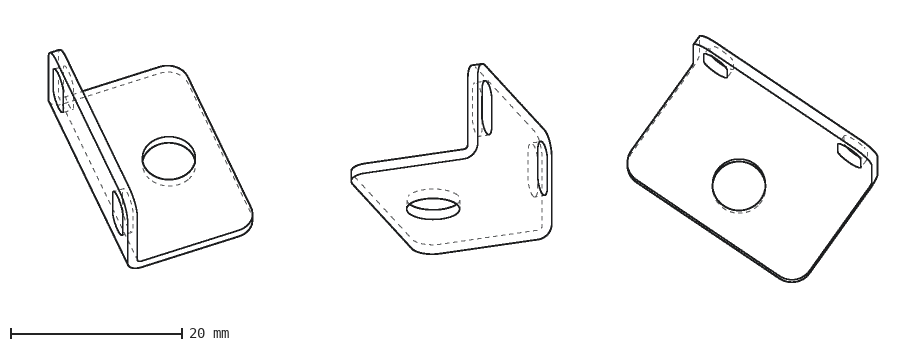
import cadquery as cq

width = 25.4
depth = 16.5
height = 12.7
thickness = 1.25

bend_inner_radius = 0.48
bend_outer_radius = bend_inner_radius + thickness
corner_radius = 2.55

hole_diameter = 6.2
hole_from_back = 6.35

slot_width = 3.3
slot_length = 6.6
slot_spacing = 19.05
slot_center_from_top = 5.15


def bent_sheet():
    """L profile in the YZ plane, extruded along X, with a rounded bend."""
    profile = [
        (0, 0),
        (depth, 0),
        (depth, thickness),
        (thickness, thickness),
        (thickness, height),
        (0, height),
    ]
    sheet = cq.Workplane("YZ").polyline(profile).close().extrude(width / 2, both=True)
    sheet = sheet.edges("|X and <Y and <Z").fillet(bend_outer_radius)
    inner_corner = cq.selectors.NearestToPointSelector((0, thickness, thickness))
    return sheet.edges("|X").edges(inner_corner).fillet(bend_inner_radius)


def base_hole():
    """Cutter for the round hole through the base."""
    return (
        cq.Workplane("XY")
        .center(0, depth - hole_from_back)
        .circle(hole_diameter / 2)
        .extrude(thickness)
    )


def flange_slots():
    """Cutters for the two vertical slots through the upright flange."""
    slot_z = height - slot_center_from_top
    return (
        cq.Workplane("XZ")
        .pushPoints([(side * slot_spacing / 2, slot_z) for side in (-1, 1)])
        .slot2D(slot_length, slot_width, 90)
        .extrude(-thickness)
    )


bracket = bent_sheet()
bracket = bracket.faces(">Y").edges("|Z").fillet(corner_radius)
bracket = bracket.faces(">Z").edges("|Y").fillet(corner_radius)
result = bracket.cut(base_hole()).cut(flange_slots())